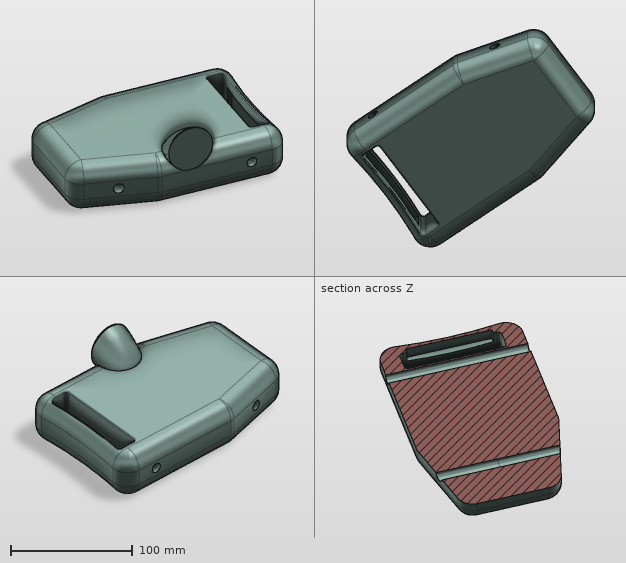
import cadquery as cq
import math

body_width = 122.8
body_length = 189.17
body_height = 44.2
edge_radius = 14.7
fillet_allowance = 0.01
front_core_half = 30.7
taper_angle = math.radians(15)
rear_sag = 2.7

core_half = body_width / 2 - edge_radius
front_core_y = edge_radius
bend_y = front_core_y + (core_half - front_core_half) / math.tan(taper_angle)

bar_thickness = 8.8
slot_width = 87.4
slot_front_y = body_length - 26.6
slot_corner_radius = 3.0
slot_rim_radius = 0.8
rim_margin = 0.1
rim_zone = 4.0

pocket_width = 74.5
pocket_height = 20.0
pocket_depth = 5.8

hole_diameter = 8.8
hole_ys = (38.9, 155.9)

horn_radius = 20.0
horn_y = 100.3
horn_top_z = 69.53
horn_lip = 1.0
horn_base_x = 52.4
horn_base_reach = 21.2
horn_mid_lean = 45.0
horn_mid_crown_x = 45.7
horn_mid_crown_z = 59.9

rear_chord_half = core_half
rear_arc_radius = (rear_chord_half**2 + rear_sag**2) / (2 * rear_sag)
rear_core_y = body_length - edge_radius
core_arc_radius = rear_arc_radius + edge_radius
rear_center_y = rear_core_y + math.sqrt(core_arc_radius**2 - core_half**2)


def make_body():
    core = (
        cq.Workplane("XY")
        .moveTo(-front_core_half, front_core_y)
        .lineTo(front_core_half, front_core_y)
        .lineTo(core_half, bend_y)
        .lineTo(core_half, rear_core_y)
        .threePointArc((0, rear_center_y - core_arc_radius), (-core_half, rear_core_y))
        .lineTo(-core_half, bend_y)
        .close()
    )
    slab = core.offset2D(edge_radius).extrude(body_height)
    return slab.faces("<Z or >Z").edges().fillet(edge_radius - fillet_allowance)


def make_slot():
    rear_radius = rear_arc_radius + bar_thickness
    half = slot_width / 2
    corner_y = rear_center_y - math.sqrt(rear_radius**2 - half**2)
    return (
        cq.Workplane("XY")
        .moveTo(-half, slot_front_y)
        .lineTo(half, slot_front_y)
        .lineTo(half, corner_y)
        .threePointArc((0, rear_center_y - rear_radius), (-half, corner_y))
        .close()
        .extrude(body_height)
        .edges("|Z")
        .fillet(slot_corner_radius)
    )


def round_slot_rim(body):
    """Round the edge loop where the slot opens in the top and the bottom."""
    half = slot_width / 2 + rim_margin
    front_y = slot_front_y - rim_margin
    rear_y = body_length - bar_thickness / 2
    for rim_z in (0, body_height):
        low_corner = (-half, front_y, rim_z - rim_zone)
        high_corner = (half, rear_y, rim_z + rim_zone)
        rim = cq.selectors.BoxSelector(low_corner, high_corner, boundingbox=True)
        body = body.edges(rim).fillet(slot_rim_radius)
    return body


def make_pocket():
    inner_y = rear_center_y - rear_arc_radius - bar_thickness
    block = cq.Workplane("XY").box(pocket_width, 2 * pocket_depth, pocket_height)
    return block.translate((0, inner_y, body_height / 2))


def make_holes():
    return (
        cq.Workplane("YZ")
        .pushPoints([(y, body_height / 2) for y in hole_ys])
        .circle(hole_diameter / 2)
        .extrude(body_width / 2, both=True)
    )


def half_section(x, z, lean, reach):
    """Half ellipse across the horn, centred at (x, z).

    A lean of 0 points its crown toward -X, 90 degrees points it up and -90 degrees down.
    """
    angle = math.radians(lean)
    plane = cq.Plane(
        origin=(x, horn_y, z),
        xDir=(0, 1, 0),
        normal=(math.sin(angle), 0, math.cos(angle)),
    )
    half = (
        cq.Workplane(plane)
        .moveTo(horn_radius, 0)
        .ellipseArc(horn_radius, reach, 0, 180)
        .close()
    )
    return half.wires().val()


def make_horn():
    end_x = body_width / 2
    lip_x = end_x - horn_lip
    end_z = horn_top_z - horn_radius

    seam_slope = (end_z - body_height) / (lip_x - horn_base_x)
    lean = math.radians(horn_mid_lean)
    crown_rise = horn_mid_crown_z - body_height - seam_slope * (horn_mid_crown_x - horn_base_x)
    mid_reach = crown_rise / (math.sin(lean) + seam_slope * math.cos(lean))
    mid_x = horn_mid_crown_x + mid_reach * math.cos(lean)
    mid_z = horn_mid_crown_z - mid_reach * math.sin(lean)

    hood = cq.Solid.makeLoft(
        [
            half_section(horn_base_x, body_height, 0, horn_base_reach),
            half_section(mid_x, mid_z, horn_mid_lean, mid_reach),
            half_section(lip_x, end_z, 90, horn_radius),
        ]
    )
    keel_bottom_z = end_z - horn_radius
    keel = cq.Solid.makeLoft(
        [
            half_section(horn_base_x, body_height, -90, body_height - keel_bottom_z),
            half_section(lip_x, end_z, -90, horn_radius),
        ],
        True,
    )
    lip = (
        cq.Workplane("YZ", origin=(lip_x, horn_y, end_z))
        .circle(horn_radius)
        .extrude(horn_lip)
    )
    return cq.Workplane(hood).union(cq.Workplane(keel)).union(lip)


body = round_slot_rim(make_body().cut(make_slot()))
result = body.cut(make_pocket()).union(make_horn()).cut(make_holes())